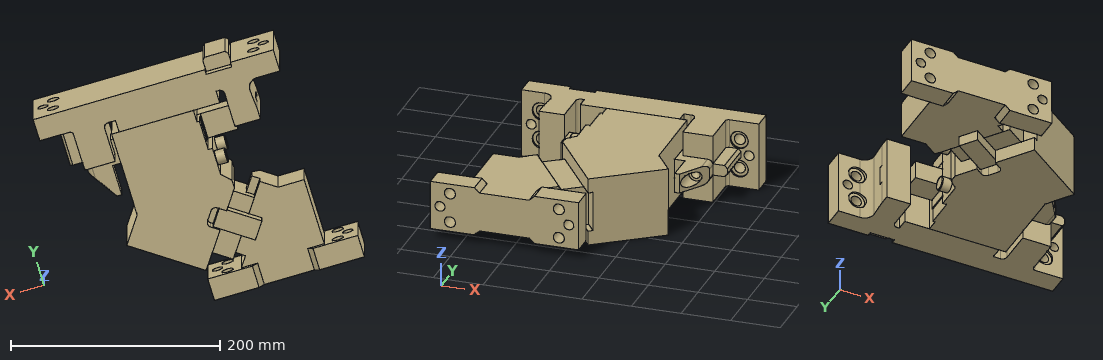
import cadquery as cq
import math


height = 70.0
mid_z = height / 2
plate_height = 50.0
screw_pitch = 30.0
screw_radius = 5.5
dowel_radius = 5.0
screw_inset = 20.0
dowel_offset = 10.0

guide_left = 23.1
guide_right = 263.0
plate_back = 224.9
plate_front = 202.8
arm_end = 162.5
left_arm_outer = 54.7
left_arm_root = 56.8
left_arm_lean_end = 173.3
left_arm_inner = 80.2
right_arm_inner = 200.0
right_arm_outer = 230.0
root_fillet = 9.7
right_root_fillet = 3.2
relief_bottom = 201.2
relief_fillet = 4.7
block_left = 87.3
block_right = 187.8
block_face = 189.4
guide_counterbore_radius = 9.0
guide_counterbore_depth = 2.0

key_left = 66.0
key_width = 25.5
key_seat = 220.0
key_back = 234.0
key_chamfer = 2.5

rib_right = 244.9
rib_thickness = 11.8
rib_chamfer = 3.0

bar_thickness = 20.0
bar_back = 177.5
bar_front = 152.3
hook_left = 205.5
hook_tip_right = 210.1
hook_tip = 122.0
hook_edge_fillet = 5.3
hook_screw_x = 218.0
hook_counterbore_radius = 7.0
hook_counterbore_floor = 147.3
hook_hole_radius = 4.5
hook_cone_depth = 4.5

slider_right = 195.1
slider_top_left = 113.5
slider_bar_left = 111.2
slider_pin_left = 107.0
slider_nose_left = 98.4
slider_step = 148.0
nose_top = 112.3
nose_bevel = slider_pin_left - slider_nose_left
collar_left = 110.2

pin_y = 134.7
pin_pitch = 46.0
pin_radius = 7.0
pin_length = 10.3
pin_chamfer = 0.8

ramp_angle = 35
ramp_start_x = 74.5
ramp_start_y = 99.5
ramp_length = 74.5

driver_length = 150.0
driver_thickness = 22.4
neck_height = 40.2
neck_left = 33.5
shoulder_y = 89.0
ramp_undercut = 10.0
waist_left = 50.0
waist_right = 100.0
waist_slant = 5.3

ridge_out = 8.2
ridge_bottom = 25.2
ridge_slope_bottom = 40.5

slider_ramp_out = 22.4
slider_ramp_end = 96.3
slider_ramp_width = 80.0
pad_start = 16.8
pad_end = 81.5
pad_recess_depth = 5.0
hook_plate_start = 33.7
hook_plate_end = 53.7
hook_plate_reach = 13.2
hook_plate_thickness = 11.0
hook_slot_depth = 14.2
hook_slot_fillet = 4.7

neck_bottom = mid_z - neck_height / 2
neck_top = mid_z + neck_height / 2


def ramp_point(along, out):
    """XY of a point given by its distance down the ramp and its distance out from it."""
    angle = math.radians(ramp_angle)
    return (
        ramp_start_x + along * math.sin(angle) + out * math.cos(angle),
        ramp_start_y - along * math.cos(angle) + out * math.sin(angle),
    )


def prism(points, bottom, top):
    """Closed XY polygon extruded from Z = bottom to Z = top."""
    return cq.Workplane("XY").workplane(offset=bottom).polyline(points).close().extrude(top - bottom)


def centred_prism(points, thickness):
    """Closed XY polygon extruded symmetrically about the middle height."""
    return prism(points, mid_z - thickness / 2, mid_z + thickness / 2)


def block(left, right, front, back, thickness):
    """Rectangular block centred on the middle height."""
    return centred_prism([(left, front), (right, front), (right, back), (left, back)], thickness)


def ramp_block(start, end, inner, outer, bottom, top):
    """Rectangular block aligned with the ramp."""
    corners = [(start, inner), (end, inner), (end, outer), (start, outer)]
    return prism([ramp_point(along, out) for along, out in corners], bottom, top)


def y_cylinder(x, z, radius, start, end):
    """Cylinder along Y from Y = start to Y = end."""
    base = cq.Vector(x, start, z)
    return cq.Workplane(cq.Solid.makeCylinder(radius, end - start, base, cq.Vector(0, 1, 0)))


def screw_heights():
    """Z of the two screws of a mounting trio."""
    return [mid_z - screw_pitch / 2, mid_z + screw_pitch / 2]


def mounting_holes(screw_x, dowel_x, front, back):
    """Two screw holes and one dowel hole, all along Y."""
    holes = y_cylinder(dowel_x, mid_z, dowel_radius, front, back)
    for z in screw_heights():
        holes = holes.add(y_cylinder(screw_x, z, screw_radius, front, back))
    return holes.combine()


def guide_bracket():
    """Back plate, two arms and the bearing block between them."""
    outline = [
        (guide_left, plate_back), (guide_right, plate_back), (guide_right, plate_front),
        (right_arm_outer, plate_front), (right_arm_outer, arm_end), (right_arm_inner, arm_end),
        (right_arm_inner, relief_bottom), (block_right, relief_bottom), (block_right, block_face),
        (block_left, block_face), (block_left, relief_bottom), (left_arm_inner, relief_bottom),
        (left_arm_inner, arm_end), (left_arm_outer, arm_end), (left_arm_outer, left_arm_lean_end),
        (left_arm_root, plate_front), (guide_left, plate_front),
    ]
    corners = [
        (left_arm_root, plate_front, root_fillet),
        (right_arm_outer, plate_front, right_root_fillet),
        (left_arm_inner, relief_bottom, relief_fillet),
        (right_arm_inner, relief_bottom, relief_fillet),
    ]
    bracket = prism(outline, 0, height)
    for x, y, radius in corners:
        bracket = bracket.edges(cq.NearestToPointSelector((x, y, mid_z))).fillet(radius)
    return bracket


def back_key():
    key = block(key_left, key_left + key_width, key_seat, key_back, plate_height)
    return key.faces(">Y").edges("|Z").chamfer(key_chamfer)


def arm_rib():
    rib = block(right_arm_outer, rib_right, arm_end, plate_front, rib_thickness)
    return rib.faces(">X").edges("|Y").chamfer(rib_chamfer)


def hooked_bar():
    """Cross bar through both arms, ending in a pointed hook beyond the slider."""
    outline = [
        (left_arm_outer, bar_back), (right_arm_outer, bar_back), (right_arm_outer, bar_front),
        (hook_tip_right, hook_tip), (hook_left, hook_tip), (hook_left, bar_front),
        (left_arm_inner, bar_front), (left_arm_inner, arm_end), (left_arm_outer, arm_end),
    ]
    bar = centred_prism(outline, bar_thickness)
    bar = bar.faces(">X").edges("|Y").fillet(hook_edge_fillet)
    counterbore = y_cylinder(hook_screw_x, mid_z, hook_counterbore_radius, hook_tip, hook_counterbore_floor)
    cone = cq.Solid.makeCone(
        hook_hole_radius, 0, hook_cone_depth,
        cq.Vector(hook_screw_x, hook_counterbore_floor, mid_z), cq.Vector(0, 1, 0),
    )
    return bar.cut(counterbore).cut(cq.Workplane(cone))


def guide_holes():
    """A mounting trio at each plate end, its screws counterbored on the arm side."""
    cutters = []
    for end_x, inward in [(guide_left, 1), (guide_right, -1)]:
        screw_x = end_x + inward * screw_inset
        dowel_x = screw_x - inward * dowel_offset
        cutters.append(mounting_holes(screw_x, dowel_x, plate_front, plate_back))
        for z in screw_heights():
            cutters.append(y_cylinder(
                screw_x, z, guide_counterbore_radius,
                plate_front - root_fillet, plate_front + guide_counterbore_depth,
            ))
    return cutters


def make_guide():
    """Bracket with its rib, seated key and hooked bar as one solid."""
    key_slot = block(key_left, key_left + key_width, key_seat, plate_back, height)
    guide = guide_bracket().cut(key_slot)
    guide = guide.union(arm_rib())
    for cutter in guide_holes():
        guide = guide.cut(cutter)
    return guide.union(back_key()).union(hooked_bar())


def driver_base():
    """Mounting bar along X, narrowed to the neck height between two slanted shoulders."""
    base = block(0, driver_length, 0, driver_thickness, plate_height)
    for side in (-1, 1):
        edge_z = mid_z + side * plate_height / 2
        waist_z = mid_z + side * neck_height / 2
        notch = [
            (waist_left - waist_slant, edge_z), (waist_left, waist_z),
            (waist_right, waist_z), (waist_right + waist_slant, edge_z),
        ]
        base = base.cut(cq.Workplane("XZ").polyline(notch).close().extrude(-driver_thickness))
    return base


def driver_neck():
    step_outer = ramp_point(ramp_length, 0)
    step_inner = ramp_point(ramp_length, -ramp_undercut)
    foot_x = step_inner[0] + (step_inner[1] - driver_thickness) * math.tan(math.radians(ramp_angle))
    shoulder_x = ramp_start_x - (ramp_start_y - shoulder_y) / math.tan(math.radians(ramp_angle))
    outline = [
        (neck_left, 0), (neck_left, shoulder_y), (shoulder_x, shoulder_y), ramp_point(0, 0),
        step_outer, step_inner, (foot_x, driver_thickness), (waist_right, driver_thickness),
        (waist_right, 0),
    ]
    return centred_prism(outline, neck_height)


def ramp_ridge():
    """Ridge along the ramp: square below, sloping back to the ramp at the neck top."""
    angle = math.radians(ramp_angle)
    section_plane = cq.Plane(
        origin=(*ramp_point(0, 0), 0),
        xDir=(math.cos(angle), math.sin(angle), 0),
        normal=(math.sin(angle), -math.cos(angle), 0),
    )
    section = [
        (0, ridge_bottom), (ridge_out, ridge_bottom), (ridge_out, ridge_slope_bottom), (0, neck_top),
    ]
    return cq.Workplane(section_plane).polyline(section).close().extrude(ramp_length)


def make_driver():
    """Base, neck and ridge as one solid, with a mounting trio at each end."""
    driver = driver_base().union(driver_neck()).union(ramp_ridge())
    for end_x, inward in [(0, 1), (driver_length, -1)]:
        screw_x = end_x + inward * screw_inset
        dowel_x = screw_x - inward * dowel_offset
        driver = driver.cut(mounting_holes(screw_x, dowel_x, 0, driver_thickness))
    return driver


def slider_block():
    ramp_corner = ramp_point(slider_ramp_end, slider_ramp_out)
    far_corner = ramp_point(slider_ramp_end, slider_ramp_out + slider_ramp_width)
    angle = math.radians(ramp_angle)
    edge_start = ramp_point(0, slider_ramp_out)
    nose_bottom = edge_start[1] - (slider_nose_left - edge_start[0]) / math.tan(angle)
    heel_y = far_corner[1] + (far_corner[0] - slider_right) / math.tan(angle)
    outline = [
        (slider_top_left, block_face), (slider_right, block_face), (slider_right, heel_y),
        far_corner, ramp_corner, (slider_nose_left, nose_bottom), (slider_nose_left, nose_top),
        (slider_pin_left, nose_top + nose_bevel), (slider_pin_left, slider_step),
        (slider_bar_left, slider_step), (slider_bar_left, bar_back), (slider_top_left, bar_back),
    ]
    return prism(outline, 0, height)


def bar_collar():
    return block(collar_left, slider_top_left, bar_front, bar_back, neck_height)


def stop_pin(z):
    pin = cq.Workplane("YZ", origin=(slider_pin_left, pin_y, z)).circle(pin_radius).extrude(-pin_length)
    return pin.faces("<X").chamfer(pin_chamfer)


def wear_pad():
    return ramp_block(
        pad_start, pad_end, 0, slider_ramp_out + pad_recess_depth, neck_bottom, neck_top)


def hook_slot():
    """Round-cornered slot open to the ramp side and to the slider's underside."""
    slot_end = slider_ramp_out + hook_slot_depth
    slot = ramp_block(hook_plate_start, hook_plate_end, 0, slot_end, 0, neck_bottom)
    for along in (hook_plate_start, hook_plate_end):
        corner = (*ramp_point(along, slot_end), neck_bottom / 2)
        slot = slot.edges(cq.NearestToPointSelector(corner)).fillet(hook_slot_fillet)
    return slot


def return_plate():
    """Plate seated in the slot and reaching under the driver neck."""
    return ramp_block(
        hook_plate_start, hook_plate_end, -hook_plate_reach, slider_ramp_out + hook_slot_depth / 2,
        neck_bottom - hook_plate_thickness, neck_bottom)


def make_slider(guide, driver):
    """Slider with the bar passage cut by the guide and the pad shaped to the driver's ridge."""
    pad_recess = ramp_block(
        pad_start, slider_ramp_end, 0, slider_ramp_out + pad_recess_depth, neck_bottom, neck_top)
    slider = slider_block().union(bar_collar())
    slider = slider.cut(pad_recess).cut(hook_slot())
    slider = slider.union(wear_pad()).union(return_plate())
    for side in (-1, 1):
        slider = slider.union(stop_pin(mid_z + side * pin_pitch / 2))
    return slider.cut(guide).cut(driver)


guide = make_guide()
driver = make_driver()
slider = make_slider(guide, driver)

result = cq.Compound.makeCompound([
    guide.solids().val(),
    driver.solids().val(),
    slider.solids().val(),
])